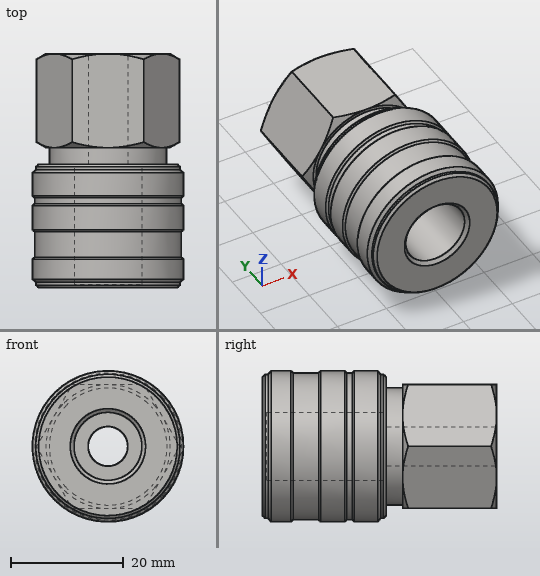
import cadquery as cq
import math

total_length = 41.5

sleeve_radius = 13.4
sleeve_length = 21.95
lip_radius = 12.8
lip_chamfer = 0.5
lip_width = 1.0
shoulder_length = 0.55
groove_radius = 13.05
groove_wall = sleeve_radius - groove_radius
front_groove = (5.05, 10.35)
rear_groove = (14.55, 16.3)

neck_radius = 10.4
hex_start = 24.85
hex_flats = 22.0
hex_corner_radius = hex_flats / 2 / math.cos(math.radians(30))
hex_chamfer_angle = 30.0

socket_radius = 6.0
socket_mouth_radius = 6.7
socket_depth = sleeve_length
passage_radius = 3.5


def revolve_profile(points):
    """Revolve a closed (radius, y) outline about the Y axis."""
    return cq.Workplane("XY").polyline(points).close().revolve(360, (0, 0, 0), (0, 1, 0))


def groove_points(start, end):
    """Outline points of a groove with 45 degree walls."""
    return [
        (sleeve_radius, start),
        (groove_radius, start + groove_wall),
        (groove_radius, end - groove_wall),
        (sleeve_radius, end),
    ]


def make_sleeve_and_neck():
    lip_face_radius = lip_radius - lip_chamfer
    shoulder_end = lip_width + shoulder_length
    front_lip = [
        (lip_face_radius, 0),
        (lip_radius, lip_chamfer),
        (lip_radius, lip_width),
        (sleeve_radius, shoulder_end),
    ]
    rear_lip = [(radius, sleeve_length - y) for radius, y in reversed(front_lip)]
    grooves = groove_points(*front_groove) + groove_points(*rear_groove)
    neck = [(neck_radius, sleeve_length), (neck_radius, hex_start), (0, hex_start)]
    return revolve_profile([(0, 0)] + front_lip + grooves + rear_lip + neck)


def make_hexagon():
    """Hexagon with corners on +X and -X, both ends trimmed by a chamfer cone."""
    hexagon = (
        cq.Workplane("XZ", origin=(0, total_length, 0))
        .polygon(6, 2 * hex_corner_radius)
        .extrude(total_length - hex_start)
    )
    end_radius = hex_flats / 2
    chamfer_length = (hex_corner_radius - end_radius) * math.tan(math.radians(hex_chamfer_angle))
    envelope = revolve_profile([
        (0, hex_start),
        (end_radius, hex_start),
        (hex_corner_radius, hex_start + chamfer_length),
        (hex_corner_radius, total_length - chamfer_length),
        (end_radius, total_length),
        (0, total_length),
    ])
    return hexagon.intersect(envelope)


def make_bore():
    """Chamfered front socket followed by a narrower passage to the back face."""
    return revolve_profile([
        (0, 0),
        (socket_mouth_radius, 0),
        (socket_radius, socket_mouth_radius - socket_radius),
        (socket_radius, socket_depth),
        (passage_radius, socket_depth),
        (passage_radius, total_length),
        (0, total_length),
    ])


result = make_sleeve_and_neck().union(make_hexagon()).cut(make_bore())